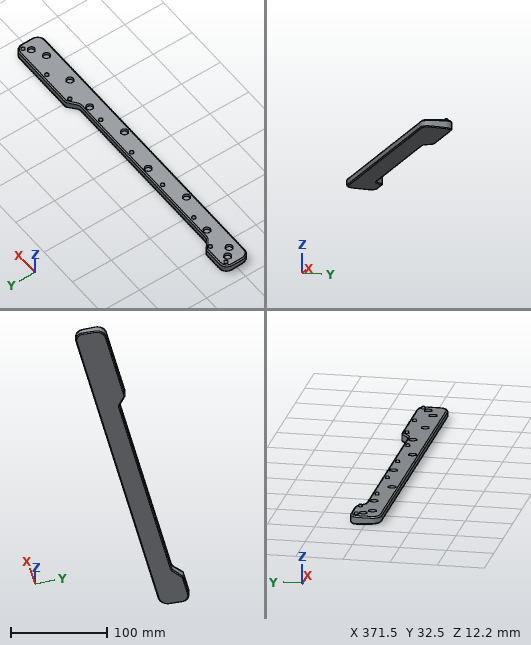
import cadquery as cq

LENGTH = 371.5
WIDTH = 32.5
PEG_HEIGHT = 2.2
TOTAL_HEIGHT = 12.3
REAR_THICKNESS = TOTAL_HEIGHT - PEG_HEIGHT
FRONT_THICKNESS = 7.8
CORNER_RADIUS = 9.5
TOP_CHAMFER = 1.5
BOTTOM_CHAMFER = 1.0

RECESS_DEPTH = 9.3
RECESS_FLOOR_LEFT = -141.0
RECESS_FLOOR_RIGHT = 83.5
RECESS_SLANT_RUN = 11.5
RECESS_OUTER_RADIUS = 3.0
RECESS_INNER_RADIUS = 7.5

HOLE_DIAMETER = 8.0
HOLE_DEPTH = 3.7
HOLE_CENTERS = [
    (-173.5, 3.7),
    (-165.0, -4.5),
    (-132.2, 0.5),
    (-83.5, -9.0),
    (-28.5, 0.5),
    (26.0, -9.0),
    (74.5, 0.5),
    (116.2, -4.5),
    (157.5, -4.5),
    (173.0, 3.7),
]

PEG_CENTERS = [
    (-179.0, 10.0),
    (-152.5, 10.8),
    (-110.5, 1.5),
    (-55.7, 1.5),
    (-1.0, 1.5),
    (53.5, 1.5),
    (95.5, 10.8),
    (136.0, 10.8),
    (179.0, 10.0),
]


def make_plan():
    """Bar with rounded corners and a recessed rear edge, extruded below Z = 0."""
    half_length = LENGTH / 2
    rear = WIDTH / 2
    mid_z = -REAR_THICKNESS / 2
    recess_floor = rear - RECESS_DEPTH
    recess_left = RECESS_FLOOR_LEFT - RECESS_SLANT_RUN
    recess_right = RECESS_FLOOR_RIGHT + RECESS_SLANT_RUN
    plan = (
        cq.Workplane("XY")
        .polyline([
            (-half_length, -rear),
            (half_length, -rear),
            (half_length, rear),
            (recess_right, rear),
            (RECESS_FLOOR_RIGHT, recess_floor),
            (RECESS_FLOOR_LEFT, recess_floor),
            (recess_left, rear),
            (-half_length, rear),
        ])
        .close()
        .extrude(-REAR_THICKNESS)
    )
    for x in (-half_length, half_length):
        for y in (-rear, rear):
            plan = plan.edges(cq.NearestToPointSelector((x, y, mid_z))).fillet(CORNER_RADIUS)
    for x in (recess_left, recess_right):
        plan = plan.edges(cq.NearestToPointSelector((x, rear, mid_z))).fillet(RECESS_OUTER_RADIUS)
    for x in (RECESS_FLOOR_LEFT, RECESS_FLOOR_RIGHT):
        plan = plan.edges(cq.NearestToPointSelector((x, recess_floor, mid_z))).fillet(RECESS_INNER_RADIUS)
    return plan


def make_wedge():
    """Full-length side profile: flat top, underside deepest at the rear."""
    front = -WIDTH / 2
    rear = WIDTH / 2
    return (
        cq.Workplane("YZ")
        .polyline([(front, 0), (rear, 0), (rear, -REAR_THICKNESS), (front, -FRONT_THICKNESS)])
        .close()
        .extrude(LENGTH / 2, both=True)
    )


def make_peg():
    """Hemisphere with its flat side on Z = 0 and its pole at the peg height."""
    return cq.Workplane("XY").sphere(PEG_HEIGHT, angle1=0, angle2=90)


body = make_plan().intersect(make_wedge())
body = body.faces(">Z").chamfer(TOP_CHAMFER)
body = body.faces("<Z").chamfer(BOTTOM_CHAMFER)
body = body.cut(cq.Workplane("XY").pushPoints(HOLE_CENTERS).circle(HOLE_DIAMETER / 2).extrude(-HOLE_DEPTH))

peg = make_peg()
for x, y in PEG_CENTERS:
    body = body.union(peg.translate((x, y, 0)))

result = body